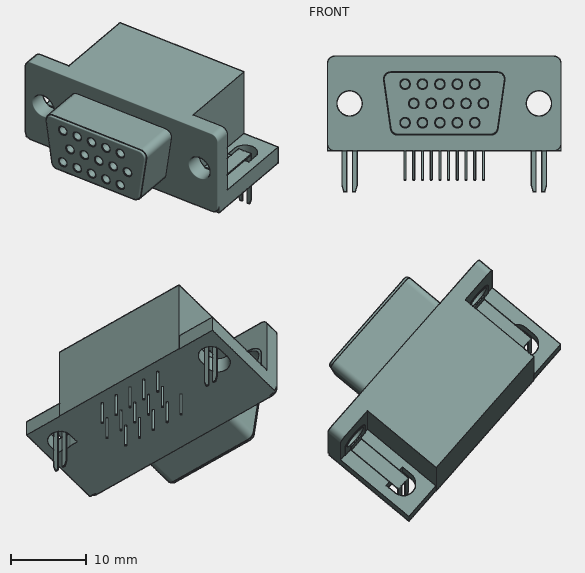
import cadquery as cq
import math


width = 30.8
height = 12.5
mid_height = height / 2
flange_depth = 2.25
plate_thickness = 0.3
corner_radius = 1.0
edge_round = 0.1
block_width = 19.85
block_depth = 14.17
foot_height = 2.6
foot_depth = 14.1

nose_length = 6.13
nose_width = 16.02
nose_height = 8.35
nose_slope = math.radians(8)
nose_radius = 1.0
nose_step = 0.1
nose_tip_length = 0.37
nose_tip_round = 0.15

row_count = 3
middle_row = 1
contacts_per_row = 5
row_length = 9.18
rows_height = 5.08
contact_pitch = row_length / (contacts_per_row - 1)
row_pitch = rows_height / (row_count - 1)
stagger = contact_pitch / 4
socket_diameter = 1.2
socket_mouth_chamfer = 0.1
pin_diameter = 0.3
pin_length = 3.88
pin_tip_chamfer = 0.077
front_pin_y = 7.48

mount_x = 12.47
mount_diameter = 3.3
slot_back_y = 10.63
slot_front_y = 9.1

backing_diameter = 4.1
backing_thickness = 0.1
strip_thickness = 0.2
strip_width = 2.03
strip_top = mid_height - mount_diameter / 2
strip_end_y = 10.7
bend_round = 0.1
leg_length = 5.4
leg_gap = 0.75
prong_taper_width = 0.25
prong_taper_height = 0.83


def box(x_range, y_range, z_range):
    """Axis-aligned block between the given limits."""
    size = [high - low for low, high in (x_range, y_range, z_range)]
    corner = (x_range[0], y_range[0], z_range[0])
    return cq.Workplane("XY").box(*size, centered=False).translate(corner)


def cylinder_y(x, z, diameter, y_start, y_end):
    """Cylinder along +Y from y_start to y_end."""
    plane = cq.Workplane("XZ", origin=(x, y_start, z))
    return plane.circle(diameter / 2).extrude(y_start - y_end)


def make_body():
    """Flange with a rounded front plate, central block and a foot on each side."""
    half = width / 2
    flange = box((-half, half), (plate_thickness, flange_depth), (0, height))
    flange = flange.edges("|Y and >Z").fillet(corner_radius)
    plate = box((-half, half), (0, plate_thickness), (0, height))
    plate = plate.edges("|Y").fillet(corner_radius)
    plate = plate.faces("<Y").edges().fillet(edge_round)
    block = box((-block_width / 2, block_width / 2), (plate_thickness, block_depth), (0, height))
    feet = box((-half, half), (plate_thickness, foot_depth), (0, foot_height))
    return flange.union(plate).union(block).union(feet)


def nose_prism(inset, start, length):
    """D-shaped prism towards -Y, its outline moved inwards by the inset."""
    half_height = nose_height / 2
    round_overhang = nose_radius * (1 / math.cos(nose_slope) + math.tan(nose_slope) - 1)
    top = nose_width / 2 + round_overhang
    bottom = top - nose_height * math.tan(nose_slope)
    outline = [(-top, half_height), (top, half_height), (bottom, -half_height), (-bottom, -half_height)]
    prism = cq.Workplane("XZ", origin=(0, start, mid_height)).polyline(outline).close()
    if inset:
        prism = prism.offset2D(-inset)
    return prism.extrude(length).edges("|Y").fillet(nose_radius - inset)


def make_nose():
    """Shell with a slightly smaller, rounded tip standing out in front."""
    shell_length = nose_length - nose_tip_length
    shell = nose_prism(0, plate_thickness, shell_length + plate_thickness)
    tip = nose_prism(nose_step, plate_thickness, nose_length + plate_thickness)
    tip = tip.faces("<Y").edges().fillet(nose_tip_round)
    return shell.union(tip)


def contact_positions():
    """Yield row number from the top and X of every contact; the middle row is shifted to +X."""
    for row in range(row_count):
        shift = stagger if row == middle_row else -stagger
        for column in range(contacts_per_row):
            yield row, shift - row_length / 2 + column * contact_pitch


def make_sockets():
    """Cutters for the contact openings, each with a countersunk mouth."""
    bore_radius = socket_diameter / 2
    mouth_radius = bore_radius + socket_mouth_chamfer
    cutters = cq.Workplane("XY")
    for row, x in contact_positions():
        z = mid_height + (middle_row - row) * row_pitch
        bore = cylinder_y(x, z, socket_diameter, -nose_length, 0)
        mouth = cq.Solid.makeCone(
            mouth_radius, bore_radius, socket_mouth_chamfer, cq.Vector(x, -nose_length, z), cq.Vector(0, 1, 0)
        )
        cutters = cutters.add(bore.union(cq.Workplane(mouth)))
    return cutters.combine()


def make_pins():
    """Solder pins below the body."""
    pins = cq.Workplane("XY")
    for row, x in contact_positions():
        y = front_pin_y + row * row_pitch
        pin = cq.Workplane("XY", origin=(x, y, foot_height)).circle(pin_diameter / 2)
        pin = pin.extrude(-foot_height - pin_length).faces("<Z").chamfer(pin_tip_chamfer)
        pins = pins.add(pin)
    return pins.combine()


def make_mount_hole(x):
    """Cutter for a mounting hole with a rounded front rim."""
    end = flange_depth + backing_thickness + strip_thickness
    hole = cylinder_y(x, mid_height, mount_diameter, 0, end)
    radius = mount_diameter / 2
    rim = cq.Workplane("XY").lineTo(radius + edge_round, 0)
    rim = rim.radiusArc((radius, edge_round), edge_round).lineTo(0, edge_round).close()
    rim = rim.revolve(360, (0, 0), (0, 1)).translate((x, 0, mid_height))
    return hole.union(rim)


def make_slot(x):
    """Cutter for a foot slot: round at the back, and also at the front on the -X side."""
    radius = mount_diameter / 2
    slot = box((x - radius, x + radius), (slot_front_y, slot_back_y), (0, foot_height))
    round_ends = [slot_back_y, slot_front_y] if x < 0 else [slot_back_y]
    for y in round_ends:
        slot = slot.union(cq.Workplane("XY", origin=(x, y, 0)).circle(radius).extrude(foot_height))
    return slot


def make_board_lock(x):
    """Backing plate around the mounting hole, bent strip along the foot and pronged leg."""
    radius = backing_diameter / 2
    plate_back = flange_depth + backing_thickness
    backing = cylinder_y(x, mid_height, backing_diameter, flange_depth, plate_back)
    skirt = box((x - radius, x + radius), (flange_depth, plate_back), (foot_height, mid_height))
    backing = backing.union(skirt)

    sides = (x - strip_width / 2, x + strip_width / 2)
    strip_level = foot_height + strip_thickness
    upright = box(sides, (plate_back, plate_back + strip_thickness), (foot_height, strip_top))
    run = box(sides, (plate_back, strip_end_y), (foot_height, strip_level))

    leg_front = strip_end_y - strip_thickness
    leg = box(sides, (leg_front, strip_end_y), (-leg_length, strip_level))
    gap = box((x - leg_gap / 2, x + leg_gap / 2), (leg_front, strip_end_y), (-leg_length, foot_height))
    leg = leg.cut(gap)
    for side in (-1, 1):
        edge = x + side * strip_width / 2
        taper = cq.Workplane("XZ", origin=(edge, strip_end_y, -leg_length))
        taper = taper.polyline([(0, 0), (-side * prong_taper_width, 0), (0, prong_taper_height)]).close()
        leg = leg.cut(taper.extrude(strip_thickness))
    strip = run.union(leg).edges("|X and >Z and >Y").fillet(bend_round)
    return backing.union(upright).union(strip)


result = make_body().union(make_nose()).cut(make_sockets()).union(make_pins())
for x in (-mount_x, mount_x):
    result = result.cut(make_slot(x))
    result = result.union(make_board_lock(x)).cut(make_mount_hole(x))